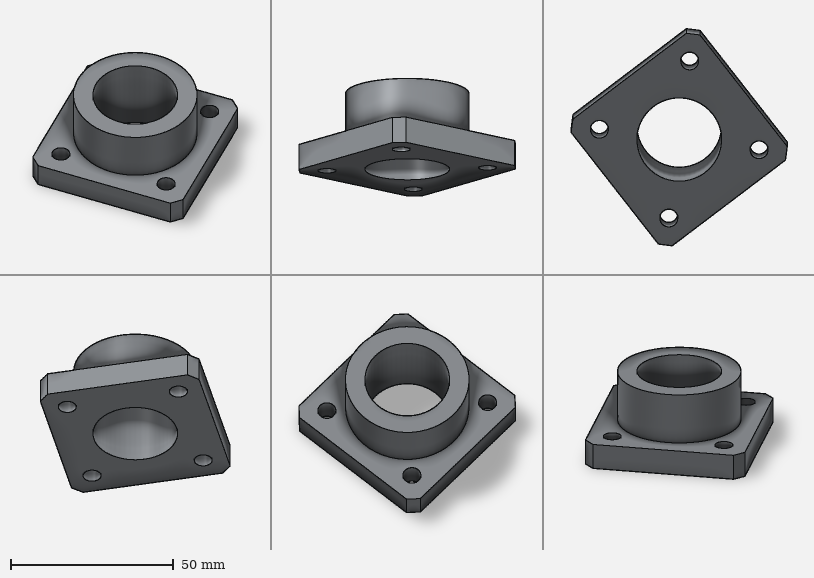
import cadquery as cq

flange_side = 50.0
flange_thickness = 8.0
corner_chamfer = 3.0

total_height = 24.0
collar_diameter = 38.0
bore_diameter = 26.0

hole_spacing = 35.0
hole_diameter = 5.5


def make_flange():
    """Square plate standing on Z = 0 with chamfered vertical corners."""
    plate = cq.Workplane("XY").rect(flange_side, flange_side).extrude(flange_thickness)
    return plate.edges("|Z").chamfer(corner_chamfer)


def make_collar():
    """Solid cylinder over the full height, centred on the flange."""
    return cq.Workplane("XY").circle(collar_diameter / 2).extrude(total_height)


def make_bore():
    """Cutter for the central through bore."""
    return cq.Workplane("XY").circle(bore_diameter / 2).extrude(total_height)


def make_mounting_holes():
    """Cutter for the four through holes on a square pattern."""
    return (
        cq.Workplane("XY")
        .rect(hole_spacing, hole_spacing, forConstruction=True)
        .vertices()
        .circle(hole_diameter / 2)
        .extrude(flange_thickness)
    )


body = make_flange().union(make_collar())
result = body.cut(make_bore()).cut(make_mounting_holes())